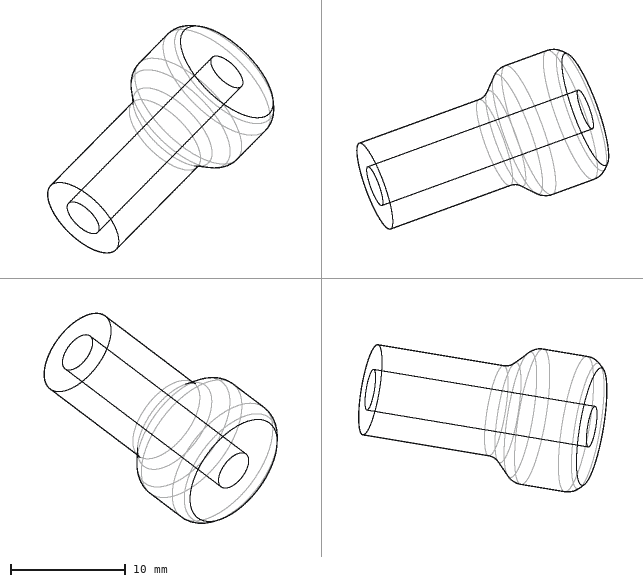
import cadquery as cq
import math

length = 20.0
head_diameter = 12.0
shank_diameter = 8.0
bore_diameter = 3.6
shoulder_start = 6.0
end_bevel = 0.8
blend_radius = 1.5

head_radius = head_diameter / 2
shank_radius = shank_diameter / 2
bore_radius = bore_diameter / 2
head_end = length / 2
shank_end = -length / 2
cone_large_y = head_end - shoulder_start
cone_small_y = cone_large_y - (head_radius - shank_radius)

half_turn = math.radians(45) / 2
tangent_length = blend_radius * math.tan(half_turn)
tangent_step = tangent_length * math.cos(2 * half_turn)
mid_axial = blend_radius * math.sin(half_turn)
mid_radial = blend_radius * (1 - math.cos(half_turn))


def blend_points(radius, corner_y, cone_side, radial_side):
    """Start, middle and end of a blend, from the cylinder onto the cone.

    cone_side is the Y direction from the corner to the cone;
    radial_side is the radial direction in which the cone leaves the cylinder.
    """
    cylinder_y = corner_y - cone_side * tangent_length
    start = (radius, cylinder_y)
    middle = (radius + radial_side * mid_radial, cylinder_y + cone_side * mid_axial)
    end = (radius + radial_side * tangent_step, corner_y + cone_side * tangent_step)
    return start, middle, end


neck_start, neck_middle, neck_end = blend_points(shank_radius, cone_small_y, 1, 1)
shoulder_start_point, shoulder_middle, shoulder_end = blend_points(head_radius, cone_large_y, -1, -1)
rim_start, rim_middle, rim_end = blend_points(head_radius, head_end - end_bevel, 1, -1)

result = (
    cq.Workplane("XY")
    .moveTo(bore_radius, shank_end)
    .lineTo(shank_radius, shank_end)
    .lineTo(*neck_start)
    .threePointArc(neck_middle, neck_end)
    .lineTo(*shoulder_end)
    .threePointArc(shoulder_middle, shoulder_start_point)
    .lineTo(*rim_start)
    .threePointArc(rim_middle, rim_end)
    .lineTo(head_radius - end_bevel, head_end)
    .lineTo(bore_radius, head_end)
    .close()
    .revolve(360, (0, 0, 0), (0, 1, 0))
)